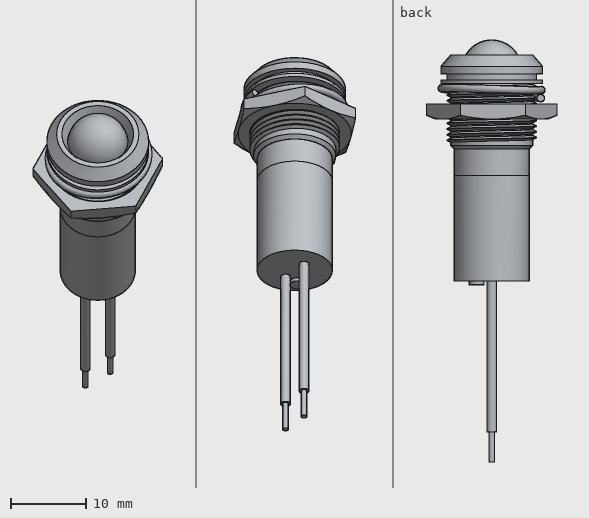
import cadquery as cq
import math


flange_thickness = 0.5
groove_width = 0.8
rim_band_height = 1.0
rim_chamfer_height = 1.5
groove_top = flange_thickness + groove_width
rim_band_top = groove_top + rim_band_height
rim_top = rim_band_top + rim_chamfer_height
thread_section_length = 8.7
neck_length = 3.5
lens_foot = 0.0
tube_top = -thread_section_length - neck_length
tube_length = 14.0
tube_bottom = tube_top - tube_length

rim_diameter = 13.5
rim_face_diameter = 10.9
neck_diameter = 10.0
thread_end_chamfer = 0.5

thread_diameter = 11.9
thread_root_diameter = 10.9
thread_pitch = 0.75
thread_crest_width = 0.06
thread_base_width = 0.6
thread_sink = 0.05
thread_bottom = -7.54
thread_lower_angle = -10.0
thread_turns = 10.24

lens_diameter = 8.0
lens_protrusion = 2.0
reflector_mouth_diameter = 9.5
reflector_depth = 1.5

nut_across_flats = 15.0
nut_thickness = 2.0
nut_bore_clearance = 0.05
nut_bore_diameter = thread_diameter + nut_bore_clearance
nut_countersink_diameter = 12.6
nut_top = -2.7
nut_turn = 1.2
nut_chamfer_diameter = 15.0
nut_chamfer_height = 0.5

washer_wire_diameter = 1.0
washer_mean_radius = 6.6
washer_offset = (0.04, 0.1)
washer_rise = 1.08
washer_end_angle = 180.5
washer_tilt = 3.3
washer_lift = 0.34

wire_offset = 2.0
insulation_diameter = 1.3
insulation_length = 20.0
conductor_diameter = 0.75
conductor_length = 4.0
peg_diameter = 2.0
peg_height = 0.5
peg_center = (2.0, 2.0)


def revolve_profile(points):
    """Turn an outline of (radius, height) points about the Z axis."""
    outline = cq.Workplane("XZ").polyline(points).close()
    return outline.revolve(360, (0, 0, 0), (0, 1, 0))


def make_thread():
    """Right-handed ridge whose foot is sunk into the housing."""
    root = thread_root_diameter / 2
    crest = thread_diameter / 2
    foot = thread_base_width / 2
    tip = thread_crest_width / 2
    flank_slope = (foot - tip) / (crest - root)
    sunk_foot = foot + flank_slope * thread_sink
    sunk_root = root - thread_sink
    length = thread_turns * thread_pitch
    path = cq.Wire.makeHelix(thread_pitch, length, root)
    ridge = (
        cq.Workplane("XZ")
        .polyline([(sunk_root, -sunk_foot), (crest, -tip), (crest, tip), (sunk_root, sunk_foot)])
        .close()
        .sweep(cq.Workplane(path), isFrenet=True)
    )
    return ridge.rotate((0, 0, 0), (0, 0, 1), thread_lower_angle).translate((0, 0, thread_bottom))


def make_housing():
    """Threaded bezel with a recess for the lens that opens into a conical reflector."""
    rim = rim_diameter / 2
    root = thread_root_diameter / 2
    groove = thread_diameter / 2
    neck = neck_diameter / 2
    body = revolve_profile([
        (0, tube_top),
        (neck, tube_top),
        (neck, -thread_section_length),
        (root - thread_end_chamfer, -thread_section_length),
        (root, -thread_section_length + thread_end_chamfer),
        (root, 0),
        (rim, 0),
        (rim, flange_thickness),
        (groove, flange_thickness),
        (groove, groove_top),
        (rim, groove_top),
        (rim, rim_band_top),
        (rim_face_diameter / 2, rim_top),
        (0, rim_top),
    ])
    lens = lens_diameter / 2
    recess = revolve_profile([
        (0, lens_foot),
        (lens, lens_foot),
        (lens, rim_top - reflector_depth),
        (reflector_mouth_diameter / 2, rim_top),
        (0, rim_top),
    ])
    return body.cut(recess).union(make_thread())


def make_lens():
    """Round lens ending in a hemisphere."""
    radius = lens_diameter / 2
    top = rim_top + lens_protrusion
    shoulder = top - radius
    bend = radius * math.sqrt(0.5)
    return (
        cq.Workplane("XZ")
        .moveTo(0, lens_foot)
        .lineTo(radius, lens_foot)
        .lineTo(radius, shoulder)
        .threePointArc((bend, shoulder + bend), (0, top))
        .close()
        .revolve(360, (0, 0, 0), (0, 1, 0))
    )


def make_tube():
    """Cylinder that continues the neck of the housing."""
    return cq.Workplane().workplane(offset=tube_bottom).circle(neck_diameter / 2).extrude(tube_length)


def make_nut():
    """Hexagon nut with its lower corners chamfered and its bore countersunk on top."""
    across_corners = nut_across_flats / math.cos(math.radians(30))
    bottom = nut_top - nut_thickness
    hexagon = (
        cq.Workplane()
        .workplane(offset=bottom)
        .polygon(6, across_corners)
        .circle(nut_bore_diameter / 2)
        .extrude(nut_thickness)
        .faces(">Z")
        .edges("%CIRCLE")
        .chamfer((nut_countersink_diameter - nut_bore_diameter) / 2)
        .rotate((0, 0, 0), (0, 0, 1), nut_turn)
    )
    corner = across_corners / 2
    envelope = revolve_profile([
        (0, bottom),
        (nut_chamfer_diameter / 2, bottom),
        (corner, bottom + nut_chamfer_height),
        (corner, nut_top),
        (0, nut_top),
    ])
    return hexagon.intersect(envelope)


def make_washer():
    """One tilted turn of round wire between flange and nut, its ends on the -X side."""
    path = cq.Wire.makeHelix(washer_rise, washer_rise, washer_mean_radius)
    turn = (
        cq.Workplane("XZ")
        .center(washer_mean_radius, 0)
        .circle(washer_wire_diameter / 2)
        .sweep(cq.Workplane(path), isFrenet=True)
    )
    centred = turn.rotate((0, 0, 0), (0, 0, 1), washer_end_angle).translate((0, 0, -washer_rise / 2))
    tilted = centred.rotate((0, 0, 0), (0, 1, 0), -washer_tilt)
    return tilted.translate((*washer_offset, nut_top / 2 + washer_lift))


def make_wire(y):
    """Insulated wire with a bare end."""
    insulation = (
        cq.Workplane(origin=(0, y, tube_bottom)).circle(insulation_diameter / 2).extrude(-insulation_length)
    )
    return insulation.faces("<Z").workplane().circle(conductor_diameter / 2).extrude(conductor_length)


def make_peg():
    """Short round peg on the bottom face of the tube."""
    return cq.Workplane(origin=(*peg_center, tube_bottom)).circle(peg_diameter / 2).extrude(-peg_height)


housing = make_housing()
lens = make_lens()
tube = make_tube()
nut = make_nut()
washer = make_washer()
wires = [make_wire(y) for y in (-wire_offset, wire_offset)]
peg = make_peg()

result = cq.Compound.makeCompound([
    housing.val(),
    lens.val(),
    tube.val(),
    nut.val(),
    washer.val(),
    *[wire.val() for wire in wires],
    peg.val(),
])